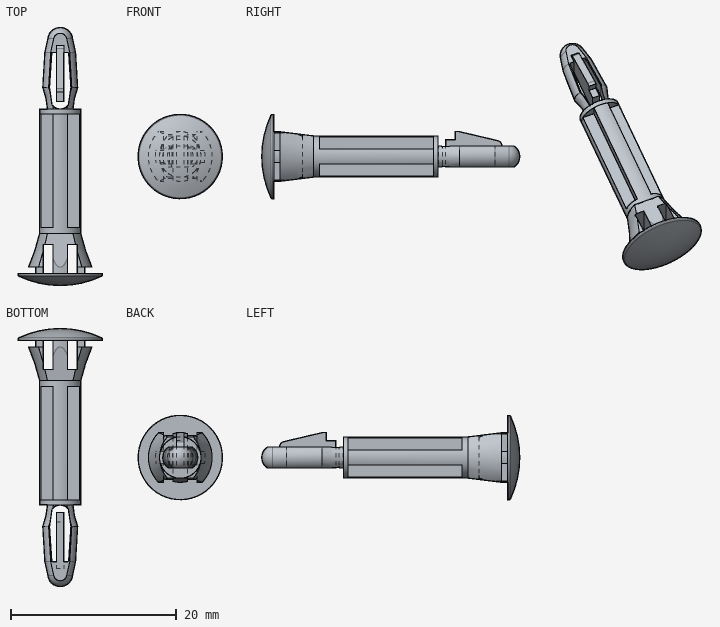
import cadquery as cq


overall_length = 31.16

collar_length = 0.57

shaft_radius = 2.5
shaft_length = 15.03
cross_width = 1.8
groove_end = 14.3

tip_length = 9.86
tip_half_height = 1.28
tip_side_radius = 1.5
nose_y = 8.53
nose_half_width = tip_side_radius
neck_y = 6.83
neck_half_width = 1.87
barb_y = 2.6
barb_half_width = 2.12
leg_y = 1.1
leg_half_width = 1.69
root_half_width = 1.55

opening_neck_half_width = 1.0
opening_barb_half_width = 1.28
opening_foot_half_width = 0.97
opening_foot_y = 0.5
opening_end_y = 0.03
opening_corner_radius = 0.12

tongue_width = 0.9
tongue_root_y = 7.7
tongue_ramp_y = 7.29
tongue_ramp_z = 1.9
tongue_nick_y = 7.55
tongue_nick_z = 1.7
tongue_crest_y = 2.5
tongue_crest_z = 3.03
tongue_catch_y = 2.04
tongue_step_z = 2.03
tongue_end_y = 0.9

flare_end = 19.08
flare_end_half_width = 3.84
flare_mid_half_width = 3.07
flare_end_half_height = 3.0
flare_start_flat = 1.55
flare_mid_flat = 2.03
flare_end_flat = 2.62
plug_radius = 3.0
plug_bar_height = 1.42
window_start = 16.35
window_outer_x = 2.03
flange_face = 19.82
flange_radius = 5.1
rim_straight = 0.18
rim_round = 0.18
rim_inset = 0.12
head_end = overall_length - tip_length


def box(x_min, x_max, y_min, y_max, half_height):
    """Block between two X and two Y limits, centred on Z = 0."""
    block = cq.Workplane("XY").box(x_max - x_min, y_max - y_min, 2 * half_height)
    return block.translate(((x_min + x_max) / 2, (y_min + y_max) / 2, 0))


def cylinder(radius, y_top, length):
    """Cylinder on the Y axis that runs from y_top toward -Y."""
    return cq.Workplane("XZ", origin=(0, y_top, 0)).circle(radius).extrude(length)


def round_sided_section(half_width, flat_half_width, half_height, y):
    """Wire across Y with a flat top and bottom and bulging sides."""
    outline = (
        cq.Workplane("XZ", origin=(0, y, 0))
        .moveTo(-flat_half_width, half_height)
        .lineTo(flat_half_width, half_height)
        .threePointArc((half_width, 0), (flat_half_width, -half_height))
        .lineTo(-flat_half_width, -half_height)
        .threePointArc((-half_width, 0), (-flat_half_width, half_height))
        .close()
    )
    return outline.val()


def tip_section(half_width, y):
    """Section of the tip, with sides of one radius all along it."""
    arc_depth = tip_side_radius - (tip_side_radius**2 - tip_half_height**2) ** 0.5
    return round_sided_section(half_width, half_width - arc_depth, tip_half_height, y)


def make_tip_outside():
    nose = tip_section(nose_half_width, nose_y)
    neck = tip_section(neck_half_width, neck_y)
    barb = tip_section(barb_half_width, barb_y)
    leg = tip_section(leg_half_width, leg_y)
    root = tip_section(root_half_width, 0)
    taper = cq.Workplane(cq.Solid.makeLoft([nose, neck, barb], True))
    legs = cq.Workplane(cq.Solid.makeLoft([barb, leg, root], False))
    dome_height = tip_length - nose_y
    dome_radius = (nose_half_width**2 + dome_height**2) / (2 * dome_height)
    dome = (
        cq.Workplane("XY")
        .moveTo(0, nose_y)
        .lineTo(nose_half_width, nose_y)
        .radiusArc((0, tip_length), -dome_radius)
        .close()
        .revolve(360, (0, 0, 0), (0, 1, 0))
        .intersect(box(-nose_half_width, nose_half_width, nose_y, tip_length, tip_half_height))
    )
    return taper.union(legs).union(dome)


def make_tip_opening():
    return (
        cq.Workplane("XY", origin=(0, 0, -tip_half_height))
        .moveTo(-opening_neck_half_width, neck_y)
        .lineTo(opening_neck_half_width, neck_y)
        .lineTo(opening_barb_half_width, barb_y)
        .lineTo(opening_foot_half_width, opening_foot_y)
        .threePointArc((0, opening_end_y), (-opening_foot_half_width, opening_foot_y))
        .lineTo(-opening_barb_half_width, barb_y)
        .close()
        .extrude(2 * tip_half_height)
        .edges("|Z and >Y")
        .fillet(opening_corner_radius)
    )


def make_tongue():
    return (
        cq.Workplane("YZ", origin=(-tongue_width / 2, 0, 0))
        .moveTo(tongue_root_y, -tip_half_height)
        .lineTo(tongue_root_y, tip_half_height)
        .threePointArc((tongue_nick_y, tongue_nick_z), (tongue_ramp_y, tongue_ramp_z))
        .lineTo(tongue_crest_y, tongue_crest_z)
        .lineTo(tongue_catch_y, tongue_crest_z)
        .lineTo(tongue_catch_y, tongue_step_z)
        .lineTo(tongue_end_y, tongue_step_z)
        .lineTo(tongue_end_y, -tip_half_height)
        .close()
        .extrude(tongue_width)
    )


def make_clip():
    collar = cylinder(shaft_radius, 0, collar_length)
    tip = make_tip_outside().cut(make_tip_opening()).union(make_tongue())
    return collar.union(tip)


def make_shaft():
    shaft = cylinder(shaft_radius, -collar_length, shaft_length - collar_length)
    arm = cross_width / 2
    for side in (-1, 1):
        x_limits = sorted((side * arm, side * shaft_radius))
        for level in (-1, 1):
            groove = box(*x_limits, -groove_end, -collar_length, shaft_radius / 2)
            shaft = shaft.cut(groove.translate((0, 0, level * (arm + shaft_radius / 2))))
    return shaft


def make_wedge():
    """Slab whose top and bottom slope apart from the shaft to the flange."""
    slope = (flare_end_half_height - shaft_radius) / (flare_end - shaft_length)
    end_half_height = shaft_radius + slope * (flange_face - shaft_length)
    return (
        cq.Workplane("YZ", origin=(-flare_end_half_width, 0, 0))
        .moveTo(-shaft_length, shaft_radius)
        .lineTo(-flange_face, end_half_height)
        .lineTo(-flange_face, -end_half_height)
        .lineTo(-shaft_length, -shaft_radius)
        .close()
        .extrude(2 * flare_end_half_width)
    )


def make_wings():
    """Flared block with concave sides that are round across Z, open in the middle."""
    mid_y = (shaft_length + flare_end) / 2
    mid_half_height = (shaft_radius + flare_end_half_height) / 2
    start = round_sided_section(shaft_radius, flare_start_flat, shaft_radius, -shaft_length)
    middle = round_sided_section(flare_mid_half_width, flare_mid_flat, mid_half_height, -mid_y)
    end = round_sided_section(flare_end_half_width, flare_end_flat, flare_end_half_height, -flare_end)
    block = cq.Workplane(cq.Solid.makeLoft([start, middle, end], False))
    window = box(-window_outer_x, window_outer_x, -flare_end, -window_start, flare_end_half_height)
    return block.cut(window)


def make_plug():
    """Centre blade and two side bars, all with their ends on one cylinder."""
    rod = cylinder(plug_radius, -window_start, flange_face - window_start)
    blade = box(-cross_width / 2, cross_width / 2, -flange_face, -window_start, plug_radius)
    bars = box(-plug_radius, plug_radius, -flange_face, -flare_end, plug_bar_height / 2)
    bars = bars.cut(box(-window_outer_x, window_outer_x, -flange_face, -flare_end, plug_radius))
    return rod.intersect(blade.intersect(make_wedge())).union(rod.intersect(bars))


def make_flange():
    shoulder_y = -flange_face - rim_straight
    dome_y = shoulder_y - rim_round
    dome_edge = flange_radius - rim_inset
    dome_height = head_end + dome_y
    dome_radius = (dome_edge**2 + dome_height**2) / (2 * dome_height)
    return (
        cq.Workplane("XY")
        .moveTo(0, -flange_face)
        .lineTo(flange_radius, -flange_face)
        .lineTo(flange_radius, shoulder_y)
        .radiusArc((dome_edge, dome_y), rim_round)
        .radiusArc((0, -head_end), dome_radius)
        .close()
        .revolve(360, (0, 0, 0), (0, 1, 0))
    )


def make_standoff():
    head = make_wings().union(make_plug()).union(make_flange())
    return make_shaft().union(head)


clip = make_clip()
standoff = make_standoff()
result = cq.Compound.makeCompound([clip.val(), standoff.val()])